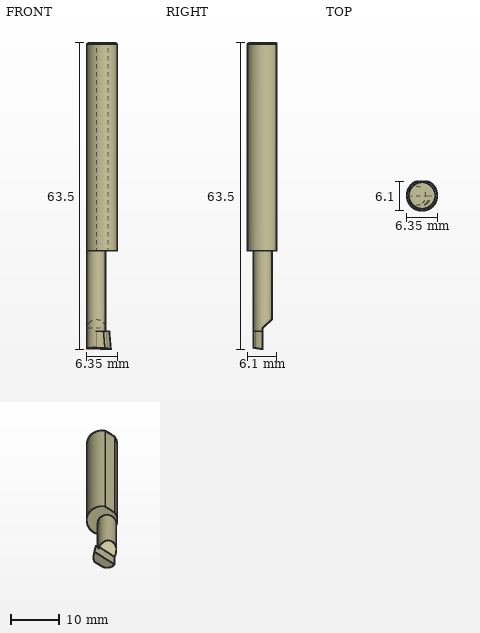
import math

import cadquery as cq

TOTAL_LENGTH = 63.49

SHANK_DIAMETER = 6.35
SHANK_WIDTH_OVER_FLAT = 6.1
SHANK_BOTTOM_Z = 20.4
CHAMFER_WIDTH = 0.45
CHAMFER_ANGLE = 30.0

NECK_DIAMETER = 3.9

RAKE_BOTTOM_LENGTH = 4.45
RAKE_RUNOUT_ANGLE = 42.0

TOOTH_HEIGHT = 3.8
TOOTH_LEAN_ANGLE = 5.0
TIP_X = 1.87
TOOTH_FLAT_END_X = 0.61
HEEL_CHAMFER_WIDTH = 0.5
HEEL_CHAMFER_ANGLE = 40.0
RELIEF_RADIUS = 3.2

END_RELIEF_Y_ANGLE = 8.0
END_RELIEF_X_ANGLE = 2.0

SHANK_RADIUS = SHANK_DIAMETER / 2
NECK_RADIUS = NECK_DIAMETER / 2
NECK_X = NECK_RADIUS - SHANK_RADIUS
CUTTER_MARGIN = 5.0


def tangent(angle):
    return math.tan(math.radians(angle))


def make_shank():
    """Round shank with a chamfered top end and a full-length flat."""
    chamfer_height = CHAMFER_WIDTH * tangent(CHAMFER_ANGLE)
    shank = (
        cq.Workplane("XZ")
        .moveTo(0, SHANK_BOTTOM_Z)
        .lineTo(-SHANK_RADIUS, SHANK_BOTTOM_Z)
        .lineTo(-SHANK_RADIUS, TOTAL_LENGTH - chamfer_height)
        .lineTo(-SHANK_RADIUS + CHAMFER_WIDTH, TOTAL_LENGTH)
        .lineTo(0, TOTAL_LENGTH)
        .close()
        .revolve(360, (0, 0, 0), (0, 1, 0))
    )
    flat_y = SHANK_WIDTH_OVER_FLAT - SHANK_RADIUS
    beyond_flat = cq.Workplane("XY").box(
        SHANK_DIAMETER, SHANK_DIAMETER, TOTAL_LENGTH, centered=(True, False, False)
    )
    return shank.cut(beyond_flat.translate((0, flat_y, 0)))


def make_neck():
    """Round neck with its +Y half removed near the tip, ending in a sloped run-out."""
    neck = cq.Workplane("XY").center(NECK_X, 0).circle(NECK_RADIUS).extrude(SHANK_BOTTOM_Z)
    cut_depth = NECK_RADIUS + CUTTER_MARGIN
    rake_cutter = (
        cq.Workplane("YZ")
        .moveTo(0, -CUTTER_MARGIN)
        .lineTo(0, RAKE_BOTTOM_LENGTH)
        .lineTo(cut_depth, RAKE_BOTTOM_LENGTH + cut_depth * tangent(RAKE_RUNOUT_ANGLE))
        .lineTo(cut_depth, -CUTTER_MARGIN)
        .close()
        .extrude(SHANK_DIAMETER, both=True)
    )
    return neck.cut(rake_cutter)


def tooth_outline(height):
    """Closed tooth section at the given height, shifted by the lean."""
    shift = -height * tangent(TOOTH_LEAN_ANGLE)
    heel_x = TOOTH_FLAT_END_X + HEEL_CHAMFER_WIDTH + shift
    heel_y = -NECK_RADIUS + HEEL_CHAMFER_WIDTH * tangent(HEEL_CHAMFER_ANGLE)
    tip_x = TIP_X + shift
    return (
        cq.Workplane("XY", origin=(0, 0, height))
        .moveTo(NECK_X, 0)
        .lineTo(NECK_X, -NECK_RADIUS)
        .lineTo(TOOTH_FLAT_END_X + shift, -NECK_RADIUS)
        .lineTo(heel_x, heel_y)
        .radiusArc((tip_x, 0), -RELIEF_RADIUS)
        .close()
        .wires()
        .val()
    )


def make_tooth():
    """Tooth beside the neck, below the rake plane."""
    outlines = [tooth_outline(0), tooth_outline(TOOTH_HEIGHT)]
    return cq.Workplane(cq.Solid.makeLoft(outlines, True))


def make_end_relief_cutter():
    """Block whose top face passes through the cutting corner with both relief slopes."""
    normal = cq.Vector(tangent(END_RELIEF_X_ANGLE), tangent(END_RELIEF_Y_ANGLE), 1)
    corner_plane = cq.Plane(origin=(TIP_X, 0, 0), xDir=(0, 1, -normal.y), normal=normal)
    block_side = 4 * SHANK_DIAMETER
    return cq.Workplane(corner_plane).rect(block_side, block_side).extrude(-CUTTER_MARGIN)


result = make_shank().union(make_neck()).union(make_tooth()).cut(make_end_relief_cutter())